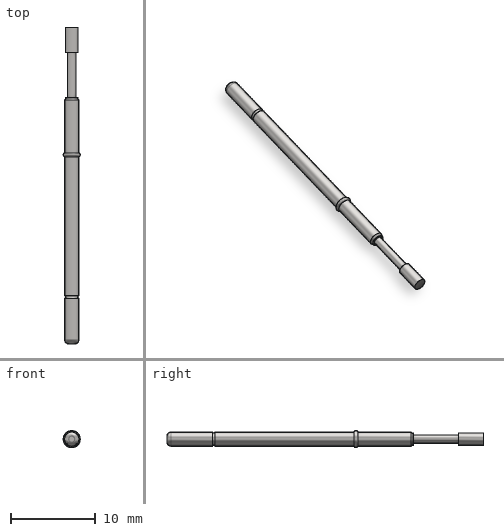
import cadquery as cq

total_length = 37.3

barrel_length = 29.05
barrel_diameter = 1.68
barrel_radius = barrel_diameter / 2
tail_fillet = 0.5

mouth_length = 0.35
neck_radius = 0.67
lip_radius = 0.75
lip_length = 0.055

collar_position = 22.25
collar_width = 0.5
collar_radius = 1.0
groove_position = 5.52
groove_width = 0.35
groove_depth = 0.1
groove_radius = barrel_radius - groove_depth

stem_diameter = 1.0
stem_radius = stem_diameter / 2
head_length = 3.0
head_radius = 0.75


def cylinder(radius, start, length):
    """Solid cylinder around the Y axis, growing toward +Y from start."""
    plane = cq.Plane(origin=(0, start, 0), xDir=(1, 0, 0), normal=(0, 1, 0))
    return cq.Workplane(plane).circle(radius).extrude(length)


def add_rounded_band(profile, position, width, crest_radius):
    """Run the profile along the barrel wall and over an arc that bulges or dips to crest_radius."""
    start = position - width / 2
    end = position + width / 2
    return profile.lineTo(barrel_radius, start).threePointArc(
        (crest_radius, position), (barrel_radius, end)
    )


def make_barrel():
    """Barrel turned from one half profile, with its tail edge rounded."""
    profile = cq.Workplane("XY").lineTo(barrel_radius, 0)
    profile = add_rounded_band(profile, groove_position, groove_width, groove_radius)
    profile = add_rounded_band(profile, collar_position, collar_width, collar_radius)
    profile = (
        profile.lineTo(barrel_radius, barrel_length - mouth_length)
        .lineTo(neck_radius, barrel_length - lip_length)
        .lineTo(lip_radius, barrel_length)
        .lineTo(0, barrel_length)
        .close()
    )
    barrel = profile.revolve(360, (0, 0, 0), (0, 1, 0))
    return barrel.faces("<Y").edges().fillet(tail_fillet)


def make_plunger():
    """Thin stem standing on the barrel mouth, with a flat-faced cylindrical head."""
    head_start = total_length - head_length
    stem = cylinder(stem_radius, barrel_length, head_start - barrel_length)
    head = cylinder(head_radius, head_start, head_length)
    return stem.union(head)


result = make_barrel().union(make_plunger())